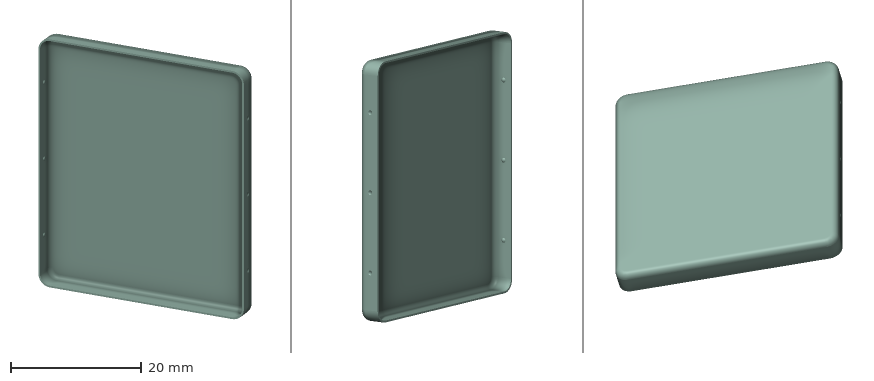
import cadquery as cq

width = 35.2
depth = 3.5
height = 40.8
corner_radius = 2.0
rim_radius = 1.0
wall = 0.3

dimple_radius = 0.35
dimple_depth = 0.15
dimple_pitch = 12.53
dimple_from_opening = 1.43

open_face_y = -depth / 2


def rounded_block(inset):
    """Tray envelope moved inward by inset, keeping its rounding concentric."""
    return (
        cq.Workplane("XZ", origin=(0, open_face_y, 0))
        .rect(width - 2 * inset, height - 2 * inset)
        .extrude(-(depth - inset))
        .edges("|Y")
        .fillet(corner_radius - inset)
        .faces(">Y")
        .edges()
        .fillet(rim_radius - inset)
    )


def dimple_cap(side, z, inset):
    """Spherical cap bulging inward from the wall face at the given inset."""
    ball_radius = (dimple_radius**2 + dimple_depth**2) / (2 * dimple_depth)
    face_x = side * (width / 2 - inset)
    center_y = open_face_y + dimple_from_opening
    return (
        cq.Workplane("XY", origin=(face_x, center_y, z))
        .lineTo(0, dimple_radius)
        .radiusArc((-side * dimple_depth, 0), -side * ball_radius)
        .close()
        .revolve(360, (0, 0), (1, 0))
    )


result = rounded_block(0).cut(rounded_block(wall))
for side in (-1, 1):
    for row in (-1, 0, 1):
        z = row * dimple_pitch
        result = result.union(dimple_cap(side, z, wall)).cut(dimple_cap(side, z, 0))